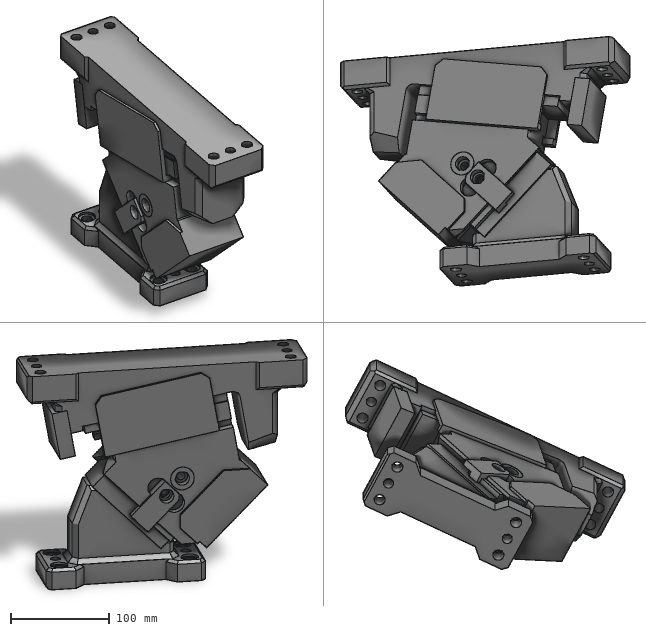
import cadquery as cq
import math


full_half = 32.5
body_half = 29.5
side_plate = full_half - body_half
total_height = 230.0

plate_half_length = 145.0
plate_thickness = 30.0
plate_bottom = total_height - plate_thickness
waist_half_length = 92.0
plate_corner = 5.0
side_bevel = 3.0
end_top_bevel = 2.0
hole_spread = 20.0
bolt_diameter = 11.0
dowel_diameter = 10.0
holder_hole_x = 129.5
web_half_length = 115.0
web_corner = (6.0, 5.0)
flare = 5.0
flare_corner = (3.5, 3.0)

rail_angle = math.radians(10)
rail_origin = (-64.7, 138.8)
cover_length = 120.0
cover_height = 65.0
cover_corner = 7.5
lip_height = 6.5
lip_inner = 22.6
liner_inner = 27.8
rail_left = -14.5
rail_right = 135.0
rail_half = 24.7
rail_bottom = 27.0
underside = 37.0
step_right = -17.0
step_level = 32.3
stop_left = -45.3
stop_right = -29.5
stop_bottom = 7.6
stop_height = 50.0
stop_half = body_half + 0.2
leg_left = 147.5
leg_bottom = -33.2
leg_depth = 40.0
leg_edge_start = (84.3, 144.0)
leg_edge_slope = math.tan(math.radians(18))
slot_radius = 8.0

slide_angle = math.radians(-45)
slide_origin = (-65.7, 119.2)
slide_end = 134.5
slide_top = 104.7

roof_half = 25.5
ridge_half = 5.2
roof_slope = math.tan(math.radians(30))
ridge_height = (roof_half - ridge_half) * roof_slope

head_left = 10.5
head_half = 26.5
head_bottom = 7.4
neck_half = 20.0
slider_top = -1.0
slider_right_low = -37.2
shoulder_z = 125.0
slider_end_height = 17.7
relief_height = 15.0
foot_start = 112.6
foot_end = 124.4
foot_step_low = foot_end - foot_start
foot_step = 3.3
foot_step_high = foot_step_low + foot_step
guard_left = 89.4
guard_low_corner = 10.0
guard_high_corner = 19.4
bore_s = 64.3
upper_bore_t = 50.8
clip_bore_t = 27.0
clip_width = 25.0
clip_bottom = -13.0
clip_top = 37.2
clip_corner = 5.0
clip_inner = 21.0
clip_leg_inner = 25.8
hook_top = -8.0
clip_pocket_radius = 10.0
clip_pocket_offset = 12.5
upper_bore_steps = [(8.6, body_half), (14.4, 9.0), (24.4, 0.3)]
clip_bore_steps = [(6.4, full_half), (9.6, 14.0), (14.6, 8.0)]

driver_start = 4.5
driver_end = 104.5
driver_bottom = -18.3
driver_half = 19.8
flange_start = 57.0
flange_thickness = 6.1
foot_left = -125.0
foot_right = 40.0
foot_height = 22.0
foot_pad = 30.0
foot_corner = 5.0
foot_bevel = 3.0
foot_end_bevel = 2.0
foot_waist_half = 22.3
foot_hole_inset = 15.0
counterbore_diameter = 17.5
counterbore_depth = 2.5
column_half = 17.9
column_left = foot_left + foot_pad
column_right = foot_right - foot_pad
column_flare = 5.0
column_corner = (5.2, 6.0)
column_flare_corner = (8.0, 8.0)
column_knee = 63.0
column_top = 103.2
column_top_left = -79.6
column_step_z = 37.5
column_top_bevel = 4.5


def tilted(origin, angle, along, across):
    """XZ point for a position along and across a direction inclined at the angle."""
    x = origin[0] + along * math.cos(angle) - across * math.sin(angle)
    z = origin[1] + along * math.sin(angle) + across * math.cos(angle)
    return x, z


def rail(u, v):
    return tilted(rail_origin, rail_angle, u, v)


def slide(s, t):
    return tilted(slide_origin, slide_angle, s, t)


def prism(points, y_low, y_high):
    """Polygon in XZ extruded between two Y levels."""
    plane = cq.Workplane("XZ", origin=(0, y_high, 0))
    return plane.polyline(points).close().extrude(y_high - y_low)


def slab(points, half_width):
    return prism(points, -half_width, half_width)


def both_sides(points, y_inner, y_outer):
    """The same prism on the -Y and the +Y side."""
    near = prism(points, -y_outer, -y_inner)
    return near.union(near.mirror("XZ"))


def box_points(frame, left, right, low, high):
    return [frame(left, low), frame(right, low), frame(right, high), frame(left, high)]


def cross_hole(point, diameter, y_inner, y_outer):
    """Cylinders along Y on both sides, reaching from y_inner to y_outer."""
    near = (
        cq.Workplane("XZ", origin=(0, -y_inner, 0))
        .center(*point)
        .circle(diameter / 2)
        .extrude(y_outer - y_inner)
    )
    return near.union(near.mirror("XZ"))


def cut_corner_plan(left, right, half_width, cut_x, cut_y):
    """Plan outline of a rectangle with its four corners cut off."""
    return [
        (left + cut_x, -half_width),
        (right - cut_x, -half_width),
        (right, -half_width + cut_y),
        (right, half_width - cut_y),
        (right - cut_x, half_width),
        (left + cut_x, half_width),
        (left, half_width - cut_y),
        (left, -half_width + cut_y),
    ]


def ruled_block(low_plan, z_low, high_plan, z_high):
    """Block with straight faces between two plan outlines."""
    return (
        cq.Workplane("XY", origin=(0, 0, z_low))
        .polyline(low_plan)
        .close()
        .workplane(offset=z_high - z_low)
        .polyline(high_plan)
        .close()
        .loft(ruled=True)
    )


def hole_row(x, z_low, height):
    """Two bolt holes with a dowel hole between them."""
    plane = cq.Workplane("XY", origin=(x, 0, z_low))
    bolts = plane.pushPoints([(0, -hole_spread), (0, hole_spread)]).circle(bolt_diameter / 2)
    return bolts.extrude(height).union(plane.circle(dowel_diameter / 2).extrude(height))


def holder_plate():
    block = (
        cq.Workplane("XY", origin=(0, 0, plate_bottom))
        .rect(2 * plate_half_length, 2 * full_half)
        .extrude(plate_thickness)
        .edges("|Z")
        .chamfer(plate_corner)
        .faces("<Z")
        .edges("|X")
        .chamfer(side_bevel)
        .faces("<Z")
        .edges("|Y")
        .chamfer(plate_corner)
        .faces(">Z")
        .edges("<X")
        .chamfer(end_top_bevel)
    )
    inner, outer = waist_half_length, waist_half_length + side_plate
    for side in (-1, 1):
        waist = (
            cq.Workplane("XY", origin=(0, 0, plate_bottom))
            .polyline([
                (-outer, side * full_half),
                (-inner, side * body_half),
                (inner, side * body_half),
                (outer, side * full_half),
            ])
            .close()
            .extrude(plate_thickness)
        )
        block = block.cut(waist)
    for x in (-holder_hole_x, holder_hole_x):
        block = block.cut(hole_row(x, plate_bottom, plate_thickness))
    return block


def holder_web():
    flare_bottom = plate_bottom - flare
    low_plan = cut_corner_plan(-web_half_length, web_half_length, body_half, *web_corner)
    flare_length = web_half_length + flare
    high_plan = cut_corner_plan(-flare_length, flare_length, body_half, *flare_corner)
    web_bottom = rail(leg_left, leg_bottom)[1] - flare
    column = ruled_block(low_plan, web_bottom, low_plan, flare_bottom)
    column = column.union(ruled_block(low_plan, flare_bottom, high_plan, plate_bottom))

    leg_right = rail(leg_left + leg_depth, leg_bottom)
    side_profile = slab(
        [
            rail(leg_left, leg_bottom),
            leg_right,
            (leg_right[0], total_height),
            (-flare_length - flare, total_height),
            rail(stop_left - flare, step_level + flare),
            rail(stop_right, step_level),
            rail(step_right, step_level),
            rail(step_right, underside),
            rail(leg_left, underside),
        ],
        full_half,
    )
    corner = leg_left - slot_radius, underside - slot_radius
    arc_middle = rail(
        corner[0] + slot_radius * math.sqrt(0.5), corner[1] + slot_radius * math.sqrt(0.5)
    )
    rounding = (
        cq.Workplane("XZ", origin=(0, full_half, 0))
        .moveTo(*rail(leg_left, corner[1]))
        .threePointArc(arc_middle, rail(corner[0], underside))
        .lineTo(*rail(leg_left, underside))
        .close()
        .extrude(2 * full_half)
    )
    return column.intersect(side_profile.union(rounding))


def leg_edge_cut():
    """45-degree wedges that point the foot of the leg; their upper edge climbs along X."""
    x_start, z_start = leg_edge_start
    x_low, x_high = x_start - flare, web_half_length + flare
    sections = []
    for x in (x_low, x_high):
        z = z_start + leg_edge_slope * (x - x_start)
        corners = [(x, -body_half, z), (x, 0, z - body_half), (x, -body_half, z - body_half)]
        sections.append(cq.Wire.makePolygon([cq.Vector(*corner) for corner in corners], close=True))
    wedge = cq.Workplane(cq.Solid.makeLoft(sections, True))
    return wedge.union(wedge.mirror("XZ"))


def cover_outline():
    c = cover_corner
    return [
        rail(0, 0),
        rail(cover_length, 0),
        rail(cover_length, cover_height - c),
        rail(cover_length - c, cover_height),
        rail(c, cover_height),
        rail(0, cover_height - c),
    ]


def make_holder():
    web = holder_web().cut(leg_edge_cut())
    stop = slab(
        box_points(rail, stop_left, stop_right, stop_bottom, stop_bottom + stop_height), stop_half
    )
    wear_rail = slab(box_points(rail, rail_left, rail_right, rail_bottom, underside), rail_half)
    covers = both_sides(cover_outline(), body_half, full_half)
    liners = both_sides(box_points(rail, 0, cover_length, 0, underside), liner_inner, body_half)
    lips = both_sides(box_points(rail, 0, cover_length, 0, lip_height), lip_inner, liner_inner)
    holder = holder_plate().union(web).union(stop).union(wear_rail)
    return holder.union(covers).union(liners).union(lips)


def groove_outline():
    """Roof-shaped groove in (y, t) with a straight relief above the ridge."""
    return [
        (-roof_half, 0),
        (-ridge_half, ridge_height),
        (-ridge_half, relief_height),
        (ridge_half, relief_height),
        (ridge_half, ridge_height),
        (roof_half, 0),
    ]


def along_slide(outline, s_start, s_end):
    """A (y, t) outline extruded down the slide."""
    x, z = slide(s_start, 0)
    plane = cq.Plane(
        origin=(x, 0, z),
        xDir=(0, 1, 0),
        normal=(math.cos(slide_angle), 0, math.sin(slide_angle)),
    )
    return cq.Workplane(plane).polyline(outline).close().extrude(s_end - s_start)


def slider_body():
    top_edge_sum = sum(slide(0, slide_top))
    outline = [
        slide(0, 0),
        slide(0, slider_end_height),
        rail(head_left, slider_top),
        rail(rail_right, slider_top),
        rail(rail_right, slider_right_low),
        (top_edge_sum - shoulder_z, shoulder_z),
        slide(slide_end, slide_top),
        slide(slide_end, foot_step_high),
        slide(foot_end, foot_step_high),
        slide(foot_end, foot_step_low),
        slide(foot_start, 0),
    ]
    head = slab(box_points(rail, head_left, rail_right, head_bottom, rail_bottom), head_half)
    neck = slab(box_points(rail, head_left, rail_right, slider_top, head_bottom), neck_half)
    return slab(outline, body_half).union(head).union(neck)


def guard_outline():
    return [
        slide(guard_left + guard_high_corner, slide_top),
        slide(slide_end, slide_top),
        slide(slide_end, foot_step_high),
        slide(foot_end, foot_step_high),
        slide(foot_end, foot_step_low),
        slide(guard_left + guard_low_corner, foot_step_low),
        slide(guard_left, foot_step_low + guard_low_corner),
        slide(guard_left, slide_top - guard_high_corner),
    ]


def clip_pockets():
    """Round-ended pockets across the slider in which the return clips sit."""
    r = clip_pocket_radius
    left, right = bore_s - clip_pocket_offset, bore_s + clip_pocket_offset
    low, high = clip_bore_t - r, clip_bore_t + r
    near = (
        cq.Workplane("XZ", origin=(0, -clip_inner, 0))
        .moveTo(*slide(left, low))
        .lineTo(*slide(right, low))
        .threePointArc(slide(right + r, clip_bore_t), slide(right, high))
        .lineTo(*slide(left, high))
        .threePointArc(slide(left - r, clip_bore_t), slide(left, low))
        .close()
        .extrude(body_half - clip_inner)
    )
    return near.union(near.mirror("XZ"))


def return_clips():
    """Clips reaching down beside the driver, each with a hook under the driver's flange."""
    left, right = bore_s - clip_width / 2, bore_s + clip_width / 2
    outline = [
        slide(left, clip_bottom),
        slide(right, clip_bottom),
        slide(right, clip_top - clip_corner),
        slide(right - clip_corner, clip_top),
        slide(left, clip_top),
    ]
    clips = both_sides(outline, clip_inner, full_half)
    flange_gap = box_points(slide, left, right, hook_top, 0)
    hook_gap = box_points(slide, left, bore_s, clip_bottom, hook_top)
    clips = clips.cut(both_sides(flange_gap, clip_inner, clip_leg_inner))
    return clips.cut(both_sides(hook_gap, clip_inner, clip_leg_inner))


def make_slider():
    slider = slider_body().cut(clip_pockets()).union(return_clips())
    slider = slider.cut(along_slide(groove_outline(), 0, slide_end))
    slider = slider.union(both_sides(guard_outline(), body_half, full_half))
    upper_bore = slide(bore_s, upper_bore_t)
    for diameter, depth in upper_bore_steps:
        slider = slider.cut(cross_hole(upper_bore, diameter, body_half - depth, body_half))
    clip_bore = slide(bore_s, clip_bore_t)
    for diameter, depth in clip_bore_steps:
        slider = slider.cut(cross_hole(clip_bore, diameter, full_half - depth, full_half))
    return slider


def driver_block():
    roof_outline_with_flange = [
        (-roof_half, -flange_thickness),
        (-roof_half, 0),
        (-ridge_half, ridge_height),
        (ridge_half, ridge_height),
        (roof_half, 0),
        (roof_half, -flange_thickness),
    ]
    roof = along_slide(roof_outline_with_flange, driver_start, driver_end)
    core = slab(
        box_points(slide, driver_start, driver_end, driver_bottom, ridge_height), driver_half
    )
    flange_zone = slab(
        box_points(slide, flange_start, driver_end, -flange_thickness, ridge_height), roof_half
    )
    below_roof = slab(
        box_points(slide, driver_start, driver_end, driver_bottom, -flange_thickness), driver_half
    )
    return roof.intersect(core.union(flange_zone)).union(below_roof)


def driver_column():
    right = column_right
    low_plan = cut_corner_plan(column_left, right, column_half, *column_corner)
    top_plan = cut_corner_plan(column_top_left, right, column_half, *column_corner)
    flared = cut_corner_plan(
        column_left - column_flare,
        right + column_flare,
        column_half + column_flare,
        *column_flare_corner,
    )
    flare_top = foot_height + column_flare
    column = ruled_block(flared, foot_height, low_plan, flare_top)
    column = column.union(ruled_block(low_plan, flare_top, low_plan, column_knee))
    column = column.union(ruled_block(low_plan, column_knee, top_plan, column_top))
    mid_block = driver_bottom / 2
    step_x = slide(driver_end, mid_block)[0]
    profile = slab(
        [
            (column_left - column_flare, foot_height),
            (right + column_flare, foot_height),
            (right + column_flare, column_step_z),
            (step_x, column_step_z),
            slide(driver_end, mid_block),
            slide(driver_start, mid_block),
            slide(driver_start, driver_bottom),
            (column_left - column_flare, column_top),
        ],
        full_half,
    )
    bevel_start = column_half - column_top_bevel
    bevel_cut = (
        cq.Workplane("YZ", origin=(column_left, 0, 0))
        .polyline([
            (-column_half, column_top - column_top_bevel),
            (-bevel_start, column_top),
            (-column_half, column_top),
        ])
        .close()
        .extrude(right - column_left)
    )
    return column.intersect(profile).cut(bevel_cut).cut(bevel_cut.mirror("XZ"))


def foot_pad_block(end_x, inward):
    """One pad of the foot, narrowing at 45 degrees from its outer end to the waist."""
    inner_x = end_x + inward * foot_pad
    taper = full_half - foot_waist_half
    half_plan = [
        (end_x, full_half - foot_corner),
        (end_x + inward * foot_corner, full_half),
        (inner_x, full_half),
        (inner_x + inward * taper, foot_waist_half),
    ]
    plan = half_plan + [(x, -y) for x, y in reversed(half_plan)]
    pad = cq.Workplane("XY").polyline(plan).close().extrude(foot_height)
    waist_side = ">X" if inward > 0 else "<X"
    pad = pad.faces(">Z").edges("not(%s)" % waist_side).chamfer(foot_bevel)
    hole_x = end_x + inward * foot_hole_inset
    counterbores = (
        cq.Workplane("XY", origin=(hole_x, 0, foot_height - counterbore_depth))
        .pushPoints([(0, -hole_spread), (0, hole_spread)])
        .circle(counterbore_diameter / 2)
        .extrude(counterbore_depth)
    )
    return pad.cut(hole_row(hole_x, 0, foot_height)).cut(counterbores)


def make_driver():
    left_pad = foot_pad_block(foot_left, 1).faces("<Z").edges("<X").chamfer(foot_end_bevel)
    right_pad = foot_pad_block(foot_right, -1)
    waist = (
        cq.Workplane("XY")
        .center((column_left + column_right) / 2, 0)
        .rect(column_right - column_left, 2 * foot_waist_half)
        .extrude(foot_height)
    )
    foot = left_pad.union(waist).union(right_pad)
    return foot.union(driver_column()).union(driver_block())


holder = make_holder()
slider = make_slider()
driver = make_driver()

result = cq.Compound.makeCompound([body.solids().val() for body in (holder, slider, driver)])